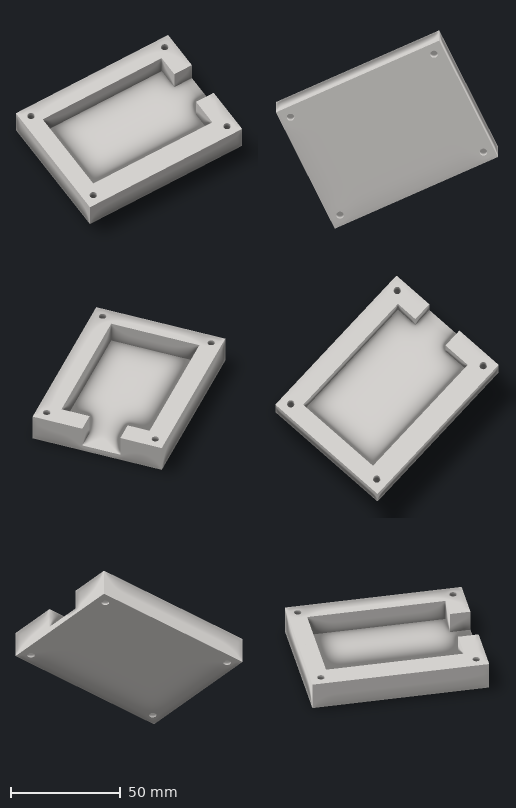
import cadquery as cq

width = 62.9
length = 82.3
height = 13.0

floor_thickness = 3.0
left_wall = 9.5
right_wall = 10.5
front_wall = 8.5
back_wall = 9.5

opening_left = 20.2
opening_width = 18.5

hole_diameter = 3.4
hole_inset = 5.0

pocket_width = width - left_wall - right_wall
pocket_length = length - front_wall - back_wall
cavity_depth = height - floor_thickness


def make_block():
    """Solid outer block, centred on X and Y and standing on Z = 0."""
    return cq.Workplane("XY").box(width, length, height, centered=(True, True, False))


def make_cavity(left, front, size_x, size_y):
    """Rectangular cavity above the floor, placed by its distance from the left and front faces."""
    return (
        cq.Workplane("XY")
        .box(size_x, size_y, cavity_depth, centered=False)
        .translate((left - width / 2, front - length / 2, floor_thickness))
    )


def make_screw_holes():
    """Four through holes, one near each corner."""
    return (
        cq.Workplane("XY")
        .rect(width - 2 * hole_inset, length - 2 * hole_inset, forConstruction=True)
        .vertices()
        .circle(hole_diameter / 2)
        .extrude(height)
    )


pocket = make_cavity(left_wall, front_wall, pocket_width, pocket_length)
opening = make_cavity(opening_left, front_wall, opening_width, length - front_wall)

result = make_block().cut(pocket).cut(opening).cut(make_screw_holes())